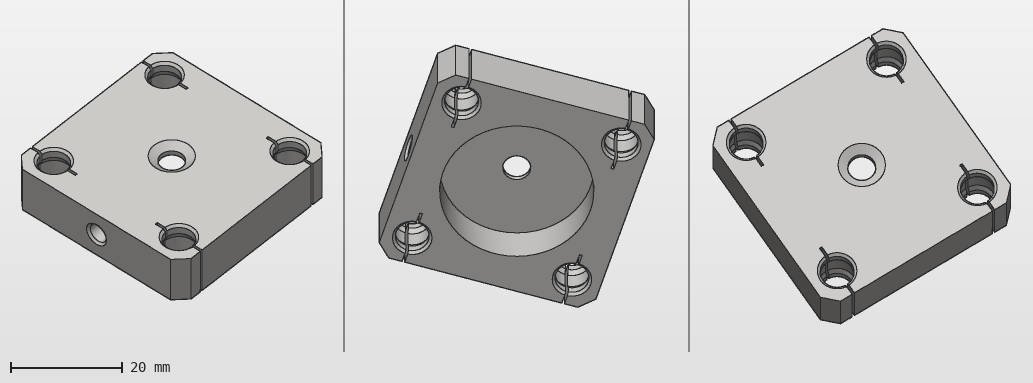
import cadquery as cq

side = 40.6
thickness = 10.0
corner_chamfer = 2.6
top = thickness / 2

rod_spacing = 29.92
rod_diameter = 6.05
rod_rim_diameter = 7.05
rod_sink_depth = (rod_rim_diameter - rod_diameter) / 2
land_depth = 2.0
groove_diameter = 7.0
groove_flare_height = 1.18

slot_width = 0.5
slot_length = 10.7

center_diameter = 5.0
center_rim_diameter = 8.45
center_sink_depth = 1.15
web_thickness = 2.15
pocket_diameter = 27.6
pocket_depth = thickness - web_thickness

side_hole_diameter = 3.8
side_rim_diameter = 4.75
side_sink_depth = (side_rim_diameter - side_hole_diameter) / 2
side_hole_depth = 5.0


def revolved(profile):
    """Solid of revolution about Z from (radius, z) points."""
    return cq.Workplane("XZ").polyline(profile).close().revolve(360, (0, 0), (0, 1))


def countersunk_cutter(diameter, rim_diameter, sink_depth, depth):
    """Hole along -Z from the origin with a conical countersink at its mouth."""
    return revolved(
        [
            (0, 0),
            (rim_diameter / 2, 0),
            (diameter / 2, -sink_depth),
            (diameter / 2, -depth),
            (0, -depth),
        ]
    )


def rod_hole_cutter():
    """Rod hole through the plate, symmetric about mid thickness."""
    land_end = top - land_depth
    upper_half = revolved(
        [
            (0, top),
            (rod_rim_diameter / 2, top),
            (rod_diameter / 2, top - rod_sink_depth),
            (rod_diameter / 2, land_end),
            (groove_diameter / 2, land_end - groove_flare_height),
            (groove_diameter / 2, 0),
            (0, 0),
        ]
    )
    return upper_half.union(upper_half.mirror("XY"))


def center_cutter():
    """Countersunk centre hole together with the pocket below it."""
    hole = countersunk_cutter(center_diameter, center_rim_diameter, center_sink_depth, thickness)
    pocket = cq.Workplane("XY").circle(pocket_diameter / 2).extrude(pocket_depth)
    return hole.translate((0, 0, top)).union(pocket.translate((0, 0, -top)))


def side_hole_cutter():
    """Countersunk blind hole running along +Y from the -Y side."""
    hole = countersunk_cutter(side_hole_diameter, side_rim_diameter, side_sink_depth, side_hole_depth)
    return hole.rotate((0, 0, 0), (1, 0, 0), 90).translate((0, -side / 2, 0))


result = cq.Workplane("XY").box(side, side, thickness).edges("|Z").chamfer(corner_chamfer)

rod_hole = rod_hole_cutter()
slot = cq.Workplane("XY").box(slot_length, slot_width, thickness)
rod_offset = rod_spacing / 2
slot_offset = (side - slot_length) / 2
for x_sign in (-1, 1):
    for y_sign in (-1, 1):
        y = y_sign * rod_offset
        result = result.cut(rod_hole.translate((x_sign * rod_offset, y, 0)))
        result = result.cut(slot.translate((x_sign * slot_offset, y, 0)))

result = result.cut(center_cutter())
result = result.cut(side_hole_cutter())